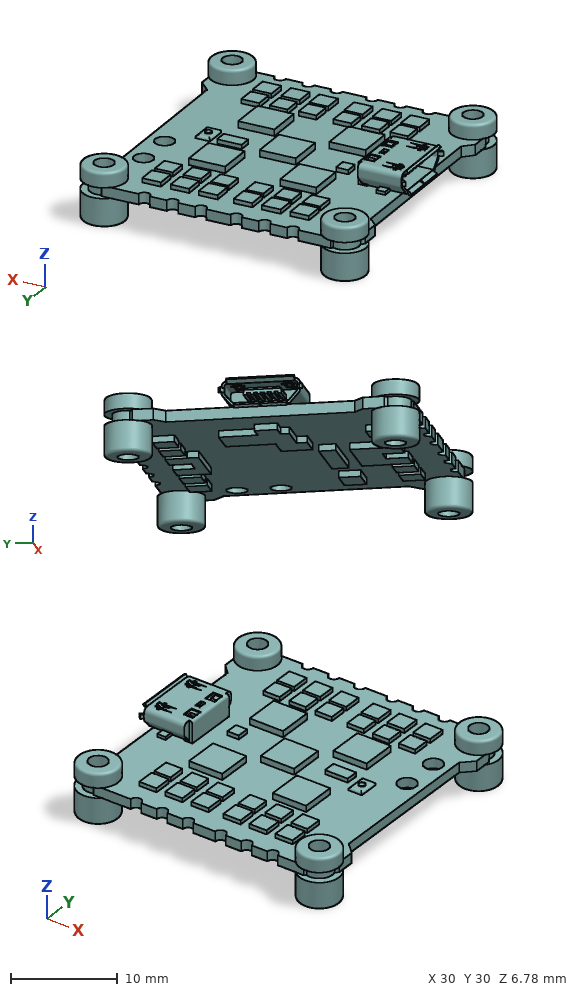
import cadquery as cq

overall_side = 30.0
grommet_diameter = 4.5
neck_diameter = 3.0
grommet_hole = 2.0
lower_flange = 3.0
upper_flange = 1.55
grommet_fillet = 0.3
grommet_place = (overall_side - grommet_diameter) / 2
corners = [(sx, sy) for sx in (-1, 1) for sy in (-1, 1)]

board_thickness = 1.1
ear_half_x = 14.5
board_half_y = 14.37
board_left = -13.5
board_right = 13.32
ear_end_y = 10.0
corner_cut = 1.0
corner_sum = 2 * grommet_place + corner_cut

copper = 0.03
pad_pitch = 3.0
notch_diameter = 1.2
edge_pad_width = 1.85
edge_pad_depth = 1.7
back_pads_x = (-8.1, 1.65)
front_pad_shift = 0.87
small_pad = (1.98, 1.0)
left_pads_x = -11.88
left_pads_y = (6.03, 7.65, 9.3)
upright_pads = [(-9.72, 9.72), (10.1, -8.73)]
square_pad = 1.3
square_pad_place = (-9.93, -8.52)
signal_pad = (1.98, 1.02)
signal_pitch = 2.0
signal_pad_count = 5
first_signal_y = -0.3
power_pad = (3.3, 3.18)
power_pads_y = (7.2, 3.0)
power_hole_x = 11.52
power_hole = 2.0

small_height = 0.45
chip_height = 0.7
under_height = 0.63
fet_groups_x = (-7.55, 2.13)
fet_pitch = 3.0
outer_fet_y = 11.0
outer_fet = 1.98
inner_fets_y = (8.73, 8.73, 8.73, 8.73, 8.6, 8.6)
inner_fet = 1.9
chip_side = 3.85
chip_places = [(-4.55, 4.7), (5.13, 4.65), (0.15, -0.05), (-4.77, -4.7), (4.9, -4.7)]
regulator_place = (5.65, 0.5)
regulator = (2.6, 1.35)
crystal_place = (-6.42, 0.72)
crystal = (1.3, 1.35)
led_place = (8.52, -0.05)
led = (1.55, 2.28, 0.3)
led_fillet = 0.27
lens_diameter = 0.7
lens_height = 0.1

under_groups_x = (-7.75, 2.05)
under_fet = 2.1
under_fet_y = 10.17
under_parts = [
    (-11.1, -9.5, -1.15, 1.05),
    (-9.5, -6.1, -1.98, 4.77),
    (-6.1, -3.48, -3.0, 0.0),
    (-2.85, 3.5, -5.07, -3.45),
    (6.65, 9.5, -5.55, -3.45),
    (-2.85, 3.12, -9.12, -6.4),
    (-2.85, 3.12, 8.0, 9.12),
]

usb_y = -0.12
shell_front = -13.9
shell_back = -9.25
shell_wall = 0.27
shell_height = 2.43
shell_half_width = 3.75
shell_knee_height = 1.1
shell_floor_half = 2.75
shell_top_radius = 0.55
shell_knee_radius = 0.45
cavity_back = -10.8
lip_profile = [(0, 0), (-0.2, 0.25), (-0.48, 0.03), (0, -0.3)]
top_lip_half = 3.25
bottom_lip_half = 2.52
bottom_lip_slit = 0.12
side_lip = (1.32, 1.77)
tongue_front = -13.2
tongue_half = 1.8
tongue_bottom = 1.23
tongue_top = 1.92
tongue_chamfer = 0.25
groove_count = 5
groove_pitch = 0.65
groove_width = 0.33
groove_depth = 0.15
stop = (0.3, 0.6, 0.18)
foot_x = (-12.25, -11.28)
foot_half = 3.9
foot_height = 0.33
back_cover_end = -8.88
back_cover_half = 2.95
back_cover_radius = 0.3
back_foot_front = -9.8
back_foot_height = 0.18
spring_y = 2.4
spring_slot = (-13.3, -11.4)
spring_slot_width = 0.78
spring_cross = (-12.93, -12.65)
spring_cross_width = 1.25
leaf_path = [(-11.4, 0), (-12.6, -0.1), (-13.2, 0.2)]
leaf_narrow_start = -12.12
leaf_narrow_width = 0.42
leaf_thickness = 0.12
window_front = -10.3
window_y = (1.1, 2.37)
window_depth = 0.12
ramp_front = -10.02
ramp_y = (1.6, 2.25)
ramp_depth = 0.45
latch_x = (-10.32, -9.8)
latch_half = 0.45


def block(x0, x1, y0, y1, z0, z1):
    """Box between the given limits."""
    return cq.Workplane("XY").box(x1 - x0, y1 - y0, z1 - z0, centered=False).translate((x0, y0, z0))


def plate(centre, size, z0, height):
    """Box of the given X and Y size centred on a place, standing on the level z0."""
    x, y = centre
    return block(x - size[0] / 2, x + size[0] / 2, y - size[1] / 2, y + size[1] / 2, z0, z0 + height)


def triples(starts, pitch):
    """Groups of three equally spaced places, one group from each start."""
    return [start + pitch * i for start in starts for i in range(3)]


def make_grommet(x, y):
    lower = cq.Workplane("XY").workplane(offset=-lower_flange).circle(grommet_diameter / 2)
    lower = lower.extrude(lower_flange).faces("<Z").edges().fillet(grommet_fillet)
    upper = cq.Workplane("XY").workplane(offset=board_thickness).circle(grommet_diameter / 2)
    upper = upper.extrude(upper_flange).faces(">Z").edges().fillet(grommet_fillet)
    neck = cq.Workplane("XY").circle(neck_diameter / 2).extrude(board_thickness)
    body = lower.union(neck).union(upper)
    return body.faces(">Z").workplane().hole(grommet_hole).translate((x, y, 0))


def make_bare_board():
    def corner(sx, sy):
        side = board_left if sx < 0 else board_right
        points = [
            (side, sy * (ear_end_y - (ear_half_x - abs(side)))),
            (sx * ear_half_x, sy * ear_end_y),
            (sx * ear_half_x, sy * (corner_sum - ear_half_x)),
            (sx * (corner_sum - board_half_y), sy * board_half_y),
        ]
        return points if sx == sy else points[::-1]

    outline = corner(1, 1) + corner(-1, 1) + corner(-1, -1) + corner(1, -1)
    board = cq.Workplane("XY").polyline(outline).close().extrude(board_thickness)
    grommet_places = [(sx * grommet_place, sy * grommet_place) for sx, sy in corners]
    necks = cq.Workplane("XY").pushPoints(grommet_places).circle(neck_diameter / 2)
    holes = cq.Workplane("XY").pushPoints([(power_hole_x, y) for y in power_pads_y]).circle(power_hole / 2)
    return board.cut(necks.extrude(board_thickness)).cut(holes.extrude(board_thickness))


back_pad_places = [(x, board_half_y) for x in triples(back_pads_x, pad_pitch)]
front_pad_places = [(x + front_pad_shift, -y) for x, y in back_pad_places]


def cut_edge_notches(board):
    notches = cq.Workplane("XY").pushPoints(back_pad_places + front_pad_places).circle(notch_diameter / 2)
    return board.cut(notches.extrude(board_thickness))


def make_led():
    body = plate(led_place, led[:2], board_thickness, led[2]).faces(">Z").edges().fillet(led_fillet)
    lens = cq.Workplane("XY").workplane(offset=board_thickness).center(*led_place).circle(lens_diameter / 2)
    return body.union(lens.extrude(led[2] + lens_height))


def make_components():
    parts = [make_led()]
    outer_size = (outer_fet, outer_fet)
    inner_size = (inner_fet, inner_fet)
    for x, inner_y in zip(triples(fet_groups_x, fet_pitch), inner_fets_y):
        for side in (-1, 1):
            parts.append(plate((x, side * outer_fet_y), outer_size, board_thickness, small_height))
            parts.append(plate((x, side * inner_y), inner_size, board_thickness, small_height))
    for place in chip_places:
        parts.append(plate(place, (chip_side, chip_side), board_thickness, chip_height))
    parts.append(plate(regulator_place, regulator, board_thickness, small_height))
    parts.append(plate(crystal_place, crystal, board_thickness, small_height))
    for x in triples(under_groups_x, fet_pitch):
        for side in (-1, 1):
            parts.append(plate((x, side * under_fet_y), (under_fet, under_fet), -under_height, under_height))
    for limits in under_parts:
        parts.append(block(*limits, -under_height, 0))
    return parts


def make_pads():
    pads = []
    for x, y in back_pad_places + front_pad_places:
        pads.append(plate((x, y), (edge_pad_width, 2 * edge_pad_depth), 0, board_thickness))
    top = board_thickness - copper
    for y in left_pads_y:
        for side in (-1, 1):
            pads.append(plate((left_pads_x, side * y), small_pad, top, copper))
    for place in upright_pads:
        pads.append(plate(place, small_pad[::-1], top, copper))
    pads.append(plate(square_pad_place, (square_pad, square_pad), top, copper))
    for i in range(signal_pad_count):
        place = (board_right - signal_pad[0] / 2, first_signal_y - signal_pitch * i)
        pads.append(plate(place, signal_pad, top, copper))
    for y in power_pads_y:
        pads.append(plate((board_right - power_pad[0] / 2, y), power_pad, top, copper))
    return pads


def make_board():
    bare = cut_edge_notches(make_bare_board())
    board = bare
    for part in make_components():
        board = board.union(part)
    for pad in make_pads():
        board = board.union(pad.intersect(bare), clean=False)
    return board


def shell_section():
    """Outer outline of the shell, wider above the knee."""
    outline = [
        (-shell_floor_half, 0),
        (shell_floor_half, 0),
        (shell_half_width, shell_knee_height),
        (shell_half_width, shell_height),
        (-shell_half_width, shell_height),
        (-shell_half_width, shell_knee_height),
    ]
    return cq.Workplane("YZ").workplane(offset=shell_front).polyline(outline).close()


def make_shell():
    shell = shell_section().extrude(shell_back - shell_front)
    shell = shell.edges("|X").edges(">Z").fillet(shell_top_radius)
    middle = (shell_height + shell_knee_height) / 2
    knees = cq.selectors.BoxSelector(
        (shell_front, -2 * shell_half_width, shell_knee_height / 2),
        (shell_back, 2 * shell_half_width, middle),
    )
    shell = shell.edges("|X").edges(knees).fillet(shell_knee_radius)
    section = shell.faces("<X").wires().toPending().workplane().offset2D(-shell_wall)
    return section.extrude(-(cavity_back - shell_front), combine="cut")


def make_lips():
    def flared(plane, surface, sign, start, end):
        points = [(shell_front + forward, surface + sign * outward) for forward, outward in lip_profile]
        return cq.Workplane(plane).workplane(offset=start).polyline(points).close().extrude(end - start)

    lips = [flared("XZ", shell_height, 1, -top_lip_half, top_lip_half)]
    for side in (-1, 1):
        lips.append(flared("XY", side * shell_half_width, side, *side_lip))
        ends = sorted((side * bottom_lip_slit / 2, side * bottom_lip_half))
        lips.append(flared("XZ", 0, -1, *ends))
    return lips


def make_tongue():
    """Contact tongue with grooves below for the contacts, and the small stop above it."""
    tongue = block(tongue_front, cavity_back, -tongue_half, tongue_half, tongue_bottom, tongue_top)
    tongue = tongue.faces(">Z").edges("<X or <Y or >Y").chamfer(tongue_chamfer)
    groove = (2 * (cavity_back - tongue_front), groove_width)
    for i in range(groove_count):
        y = (i - (groove_count - 1) / 2) * groove_pitch
        tongue = tongue.cut(plate((cavity_back, y), groove, tongue_bottom, groove_depth))
    length, half_width, height = stop
    roof = shell_height - shell_wall
    stop_block = block(cavity_back - length, cavity_back, -half_width, half_width, roof - height, roof)
    return tongue.union(stop_block)


def make_back_cover():
    half = back_cover_half
    cover = block(shell_back, back_cover_end, -half, half, 0, shell_height)
    cover = cover.faces(">X").edges(">Z").fillet(back_cover_radius)
    return cover.union(block(back_foot_front, shell_back, -half, half, 0, back_foot_height))


def cut_spring_openings(usb, side):
    """Slot and cross slit in the roof, with the spring leaf standing in the slot."""
    roof = shell_height - shell_wall
    slot_length = spring_slot[1] - spring_slot[0]
    cross_length = spring_cross[1] - spring_cross[0]
    slot_middle = (sum(spring_slot) / 2, side * spring_y)
    cross_middle = (sum(spring_cross) / 2, side * spring_y)
    usb = usb.cut(plate(slot_middle, (slot_length, spring_slot_width), roof, shell_wall))
    usb = usb.cut(plate(cross_middle, (cross_length, spring_cross_width), roof, shell_wall))
    upper = [(x, shell_height + rise) for x, rise in leaf_path]
    lower = [(x, z - leaf_thickness) for x, z in reversed(upper)]
    leaf = cq.Workplane("XZ").polyline(upper + lower).close().extrude(spring_slot_width / 2, both=True)
    tip_half = leaf_narrow_width / 2
    tip = block(shell_front, leaf_narrow_start, -tip_half, tip_half, 0, 2 * shell_height)
    root = block(leaf_narrow_start, 0, -spring_slot_width, spring_slot_width, 0, 2 * shell_height)
    leaf = leaf.intersect(tip.union(root))
    return usb.union(leaf.translate((0, side * spring_y, 0)))


def cut_back_window(usb, side):
    """Shallow window at the back of the roof with a ramp that deepens towards the middle."""
    floor = shell_height - window_depth
    near, far = sorted(side * y for y in window_y)
    window = block(window_front, shell_back, near, far, floor, shell_height)
    deep, shallow = (side * y for y in ramp_y)
    profile = [(deep, floor), (deep, shell_height - ramp_depth), (shallow, floor)]
    ramp = cq.Workplane("YZ").workplane(offset=ramp_front).polyline(profile).close()
    return usb.cut(window).cut(ramp.extrude(shell_back - ramp_front))


def make_usb():
    usb = make_shell()
    for part in [*make_lips(), make_tongue(), make_back_cover()]:
        usb = usb.union(part)
    for side in (-1, 1):
        usb = cut_spring_openings(usb, side)
        usb = cut_back_window(usb, side)
        ends = sorted((side * shell_floor_half, side * foot_half))
        usb = usb.union(block(*foot_x, *ends, 0, foot_height))
    usb = usb.cut(block(*latch_x, -latch_half, latch_half, shell_height - shell_wall, shell_height))
    return usb.translate((0, usb_y, board_thickness))


board = make_board()
usb_connector = make_usb()
grommets = [make_grommet(sx * grommet_place, sy * grommet_place) for sx, sy in corners]

result = cq.Compound.makeCompound([board.val(), usb_connector.val(), *[g.val() for g in grommets]])